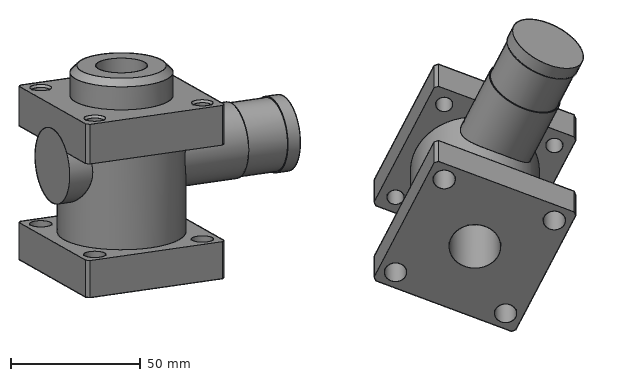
import cadquery as cq

flange_side = 60.0
flange_corner_chamfer = 1.3
base_flange_height = 15.0
column_diameter = 50.0
upper_flange_bottom = 54.0
upper_flange_top = 70.0
total_height = 82.0
spigot_diameter = 40.0
spigot_chamfer = 2.7
bore_diameter = 20.0

bolt_pitch = 46.6
base_hole_diameter = 8.6
upper_hole_diameter = 6.6
upper_hole_mouth_diameter = 8.4
upper_hole_chamfer = (upper_hole_mouth_diameter - upper_hole_diameter) / 2

spindle_diameter = 30.0
spindle_length = 100.0
spindle_axis_height = 45.5
spindle_front = -flange_side / 2
neck_diameter = 29.0
neck_length = 17.0
collar_length = 5.4


def z_cylinder(diameter, bottom, top):
    return cq.Workplane("XY").workplane(offset=bottom).circle(diameter / 2).extrude(top - bottom)


def y_cylinder(diameter, start, length):
    """Cylinder on the spindle axis, running from Y = start toward +Y."""
    return (
        cq.Workplane("XZ", origin=(0, start, spindle_axis_height))
        .circle(diameter / 2)
        .extrude(-length)
    )


def make_flange(bottom, top, hole_diameter):
    """Square plate with chamfered corners and four bolt holes."""
    return (
        cq.Workplane("XY")
        .workplane(offset=bottom)
        .rect(flange_side, flange_side)
        .extrude(top - bottom)
        .edges("|Z")
        .chamfer(flange_corner_chamfer)
        .faces(">Z")
        .workplane()
        .rect(bolt_pitch, bolt_pitch, forConstruction=True)
        .vertices()
        .hole(hole_diameter)
    )


def make_upper_flange():
    """Upper flange with countersunk hole mouths on its top face."""
    flange = make_flange(upper_flange_bottom, upper_flange_top, upper_hole_diameter)
    return flange.faces(">Z").edges("%CIRCLE").chamfer(upper_hole_chamfer)


def make_spigot():
    spigot = z_cylinder(spigot_diameter, upper_flange_top, total_height)
    return spigot.faces(">Z").edges().chamfer(spigot_chamfer)


def make_bore():
    return z_cylinder(bore_diameter, 0, total_height)


def make_housing():
    """Two flanges joined by a column, bored through and cross-drilled for the spindle."""
    base_flange = make_flange(0, base_flange_height, base_hole_diameter)
    column = z_cylinder(column_diameter, base_flange_height, upper_flange_bottom)
    body = base_flange.union(column).union(make_upper_flange()).union(make_spigot())
    spindle_hole = y_cylinder(spindle_diameter, spindle_front, spindle_length)
    return body.cut(make_bore()).cut(spindle_hole)


def make_spindle():
    """Bar with a shallow neck behind its end collar and a port in line with the column bore."""
    collar_start = spindle_front + spindle_length - collar_length
    neck_start = collar_start - neck_length
    shank = y_cylinder(spindle_diameter, spindle_front, neck_start - spindle_front)
    neck = y_cylinder(neck_diameter, neck_start, neck_length)
    collar = y_cylinder(spindle_diameter, collar_start, collar_length)
    return shank.union(neck).union(collar).cut(make_bore())


housing = make_housing()
spindle = make_spindle()
result = cq.Compound.makeCompound([housing.val(), spindle.val()])